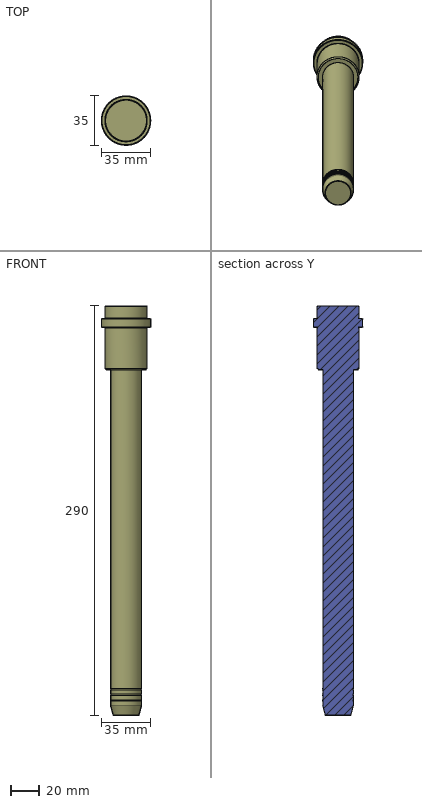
import cadquery as cq
import math

total_length = 290.0
head_diameter = 30.0
flange_diameter = 35.0
shank_diameter = 22.0

spigot_height = 9.0
flange_height = 6.3
collar_height = 30.0
collar_chamfer = 1.0
spigot_chamfer = 0.5
flange_chamfer = 0.4

relief_width = 0.5
relief_depth = 0.25

tip_height = 7.0
tip_angle = 15.0
tip_edge_chamfer = 0.25

groove_count = 3
groove_pitch = 4.0
groove_width = 1.0
groove_depth = 0.25
first_groove_center = 10.6

flange_top = total_length - spigot_height
flange_bottom = flange_top - flange_height
collar_bottom = flange_bottom - collar_height


def cylinder(diameter, bottom, top):
    """Round bar on the Z axis between two levels."""
    return cq.Workplane("XY").workplane(offset=bottom).circle(diameter / 2).extrude(top - bottom)


def cut_ring(body, body_diameter, depth, bottom, width):
    """Cut a square ring groove of the given depth into a round body."""
    top = bottom + width
    outer = cylinder(body_diameter + 2 * depth, bottom, top)
    core = cylinder(body_diameter - 2 * depth, bottom, top)
    return body.cut(outer.cut(core))


def make_shank():
    """Long shank ending in a conical tip with a broken edge."""
    shank_radius = shank_diameter / 2
    tip_radius = shank_radius - tip_height * math.tan(math.radians(tip_angle))
    half_profile = (
        cq.Workplane("XZ")
        .moveTo(0, 0)
        .lineTo(tip_radius, 0)
        .lineTo(shank_radius, tip_height)
        .lineTo(shank_radius, collar_bottom)
        .lineTo(0, collar_bottom)
        .close()
    )
    shank = half_profile.revolve(360, (0, 0, 0), (0, 1, 0))
    return shank.faces("<Z").chamfer(tip_edge_chamfer)


def cut_shank_grooves(shank):
    """Evenly spaced ring grooves just above the tip."""
    for index in range(groove_count):
        groove_bottom = first_groove_center + index * groove_pitch - groove_width / 2
        shank = cut_ring(shank, shank_diameter, groove_depth, groove_bottom, groove_width)
    return shank


def make_head():
    """Stepped head: chamfered collar, flange between two undercuts, and top spigot."""
    barrel = cylinder(head_diameter, collar_bottom, total_length)
    barrel = barrel.faces("<Z").chamfer(collar_chamfer)
    barrel = barrel.faces(">Z").chamfer(spigot_chamfer)
    for relief_bottom in (flange_top, flange_bottom - relief_width):
        barrel = cut_ring(barrel, head_diameter, relief_depth, relief_bottom, relief_width)
    flange = cylinder(flange_diameter, flange_bottom, flange_top)
    flange = flange.faces("<Z or >Z").chamfer(flange_chamfer)
    return barrel.union(flange)


result = cut_shank_grooves(make_shank()).union(make_head())